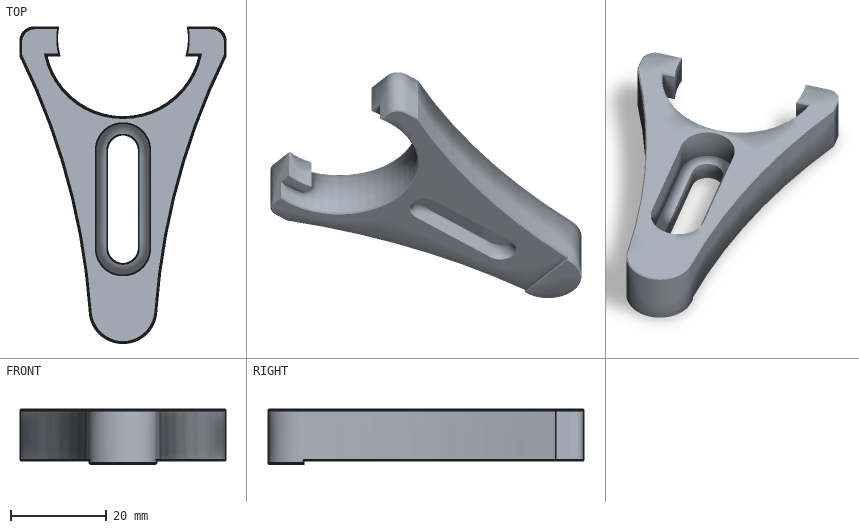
import cadquery as cq
import math

length = 66.5
width = 43.3
thickness = 10.85
foot_height = 0.65
edge_chamfer = 0.25

arm_end_y = 2.4
arm_corner_radius = 3.0
shoulder_y = -3.6
bore_radius = 16.5
lug_tip_radius = 13.8
lug_start_y = shoulder_y
lug_height = 6.7

tail_radius = 7.05
tail_wrap_degrees = 4.0
tail_y = arm_end_y - length + tail_radius
foot_start_y = -56.6

slot_near_y = -23.55
slot_far_y = -44.1
slot_width = 6.6
pocket_width = 11.5
pocket_depth = 6.8

tolerance = 0.005
half_width = width / 2
full_height = thickness + foot_height


def plan_outline():
    """Closed outline of the bracket, without the bore."""
    wrap = math.radians(tail_wrap_degrees)
    tangent_x = tail_radius * math.cos(wrap)
    tangent_y = tail_y - tail_radius * math.sin(wrap)
    corner_x = half_width - arm_corner_radius
    corner_y = arm_end_y - arm_corner_radius
    bend = arm_corner_radius * math.sqrt(0.5)

    span_x = half_width - tangent_x
    span_y = shoulder_y - tangent_y
    offset = span_x * math.cos(wrap) - span_y * math.sin(wrap)
    flank_radius = (span_x**2 + span_y**2) / (2 * offset)

    return (
        cq.Workplane("XY")
        .moveTo(-corner_x, arm_end_y)
        .lineTo(corner_x, arm_end_y)
        .threePointArc((corner_x + bend, corner_y + bend), (half_width, corner_y))
        .lineTo(half_width, shoulder_y)
        .radiusArc((tangent_x, tangent_y), -flank_radius)
        .threePointArc((0, tail_y - tail_radius), (-tangent_x, tangent_y))
        .radiusArc((-half_width, shoulder_y), -flank_radius)
        .lineTo(-half_width, corner_y)
        .threePointArc((-corner_x - bend, corner_y + bend), (-corner_x, arm_end_y))
        .close()
    )


def bore_cutter():
    """Bore that narrows beside the lugs."""
    bore = cq.Workplane("XY").circle(bore_radius).extrude(-full_height)
    lug_zone = (
        cq.Workplane("XY")
        .box(width, 2 * bore_radius, lug_height, centered=(True, False, False))
        .translate((0, lug_start_y, -lug_height))
    )
    tip_bore = cq.Workplane("XY").circle(lug_tip_radius).extrude(-full_height)
    return bore.cut(lug_zone).union(tip_bore)


def slot_cutter(slot_size, depth):
    """Lengthwise slot sunk from the top face, with round ends at the slot centres."""
    centre_distance = slot_near_y - slot_far_y
    return (
        cq.Workplane("XY")
        .center(0, (slot_near_y + slot_far_y) / 2)
        .slot2D(centre_distance + slot_size, slot_size, 90)
        .extrude(-depth)
    )


def chamfer_rims(body):
    """Break the outer and bore rims, leaving the arm ends and lug tips sharp."""
    rim_edges = []
    for face in body.faces("|Z").vals():
        is_lug_underside = abs(face.Center().z + lug_height) < tolerance
        if is_lug_underside:
            continue
        for edge in face.outerWire().Edges():
            middle = edge.positionAt(0.5)
            on_arm_end = abs(middle.y - arm_end_y) < tolerance
            on_lug_tip = abs(math.hypot(middle.x, middle.y) - lug_tip_radius) < tolerance
            on_foot_step = abs(middle.y - foot_start_y) < tolerance
            if not (on_arm_end or on_lug_tip or on_foot_step):
                rim_edges.append(edge)
    return body.newObject(rim_edges).chamfer(edge_chamfer)


body = plan_outline().extrude(-full_height)
foot_relief = (
    cq.Workplane("XY")
    .box(width, arm_end_y - foot_start_y, foot_height, centered=(True, False, False))
    .translate((0, foot_start_y, -full_height))
)
body = body.cut(foot_relief).cut(bore_cutter())
body = chamfer_rims(body)
result = body.cut(slot_cutter(pocket_width, pocket_depth)).cut(slot_cutter(slot_width, full_height))